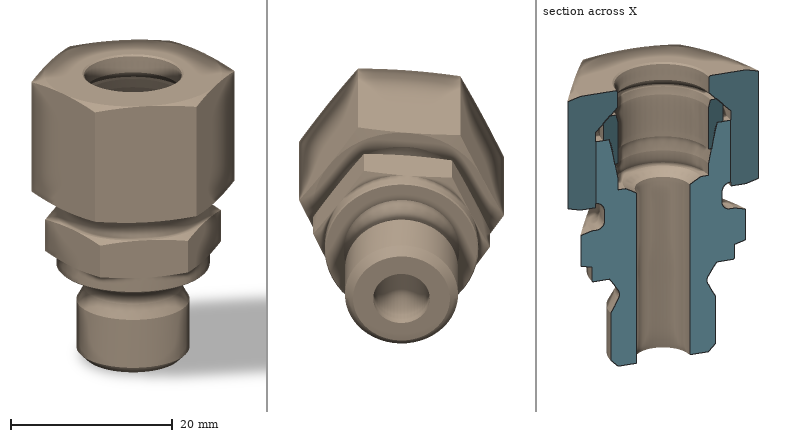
import cadquery as cq
import math


stud_thread_top = 7.4
waist_bottom = 9.1
waist_top = 10.4
flange_bottom = 12.0
body_hex_bottom = 14.0
body_hex_top = 19.0
neck_top = 21.4
nut_bottom = 22.0
nut_top = 37.5

stud_radius = 14.0 / 2
stud_chamfer = 1.0
waist_radius = 11.7 / 2
waist_edge_radius = 12.15 / 2
undercut_top_radius = 14.3 / 2
flange_radius = 19.0 / 2
flange_chamfer = 0.15
neck_radius = 15.7 / 2
neck_fillet = 1.0
nut_thread_radius = 18.0 / 2
body_top_depth = 6.5
body_top = nut_top - body_top_depth
socket_mouth_radius = 14.3 / 2
socket_half_angle = math.radians(12)
tube_radius = 12.0 / 2
socket_depth = 7.0
tube_stop = body_top - socket_depth
bore_radius = 7.0 / 2
bore_funnel_radius = 10.0 / 2
funnel_half_angle = math.radians(60)

body_hex_width = 19.0
nut_hex_width = 22.0
hex_turn = 30
hex_chamfer_angle = math.radians(15)

nut_bore_radius = 12.1 / 2
nut_mouth_radius = 12.5 / 2
nut_mouth_chamfer = nut_mouth_radius - nut_bore_radius
nut_bore_depth = 2.35
nut_cone_top = nut_top - nut_bore_depth

ring_top_depth = 3.3
ring_top = nut_top - ring_top_depth
ring_entry_radius = 12.5 / 2
ring_entry_depth = 1.0
ring_shoulder_radius = 16.0 / 2
ring_nose_length = 3.5


def nut_cone_radius(z):
    """Radius of the 45 degree cone inside the nut at height z."""
    return nut_bore_radius + nut_cone_top - z


def nut_cone_height(radius):
    """Height at which the cone inside the nut has the given radius."""
    return nut_cone_top + nut_bore_radius - radius


def revolve_profile(profile):
    """Turn a closed (radius, height) profile about the Z axis."""
    return profile.close().revolve(360, (0, 0, 0), (0, 1, 0))


def chamfered_hexagon(width, bottom, top):
    """Hexagonal prism with two flats facing X and both ends turned to a shallow cone."""
    corner_radius = width / math.sqrt(3)
    face_radius = width / 2
    drop = (corner_radius - face_radius) * math.tan(hex_chamfer_angle)
    prism = (
        cq.Workplane("XY", origin=(0, 0, bottom))
        .polygon(6, 2 * corner_radius)
        .extrude(top - bottom)
        .rotate((0, 0, 0), (0, 0, 1), hex_turn)
    )
    turned_blank = revolve_profile(
        cq.Workplane("XZ")
        .moveTo(0, bottom)
        .lineTo(face_radius, bottom)
        .lineTo(corner_radius, bottom + drop)
        .lineTo(corner_radius, top - drop)
        .lineTo(face_radius, top)
        .lineTo(0, top)
    )
    return prism.intersect(turned_blank)


def make_body():
    """Stud, sealing flange, hexagon and threaded socket that takes the tube and ring."""
    lower_fillet_top = body_hex_top + neck_fillet
    upper_fillet = nut_thread_radius - neck_radius
    arc_offset = 1 - math.sqrt(0.5)
    turned = revolve_profile(
        cq.Workplane("XZ")
        .lineTo(stud_radius - stud_chamfer, 0)
        .lineTo(stud_radius, stud_chamfer)
        .lineTo(stud_radius, stud_thread_top)
        .lineTo(waist_edge_radius, waist_bottom)
        .threePointArc(
            (waist_radius, (waist_bottom + waist_top) / 2),
            (waist_edge_radius, waist_top),
        )
        .lineTo(undercut_top_radius, flange_bottom)
        .lineTo(flange_radius - flange_chamfer, flange_bottom)
        .lineTo(flange_radius, flange_bottom + flange_chamfer)
        .lineTo(flange_radius, body_hex_bottom)
        .lineTo(neck_radius + neck_fillet, body_hex_bottom)
        .lineTo(neck_radius + neck_fillet, body_hex_top)
        .threePointArc(
            (neck_radius + arc_offset * neck_fillet, body_hex_top + arc_offset * neck_fillet),
            (neck_radius, lower_fillet_top),
        )
        .lineTo(neck_radius, neck_top)
        .threePointArc(
            (
                neck_radius + arc_offset * upper_fillet,
                neck_top + (1 - arc_offset) * upper_fillet,
            ),
            (nut_thread_radius, neck_top + upper_fillet),
        )
        .lineTo(nut_thread_radius, body_top)
        .lineTo(0, body_top)
    )
    socket_cone_depth = (socket_mouth_radius - tube_radius) / math.tan(socket_half_angle)
    funnel_depth = (bore_funnel_radius - bore_radius) / math.tan(funnel_half_angle)
    bore = revolve_profile(
        cq.Workplane("XZ")
        .lineTo(bore_radius, 0)
        .lineTo(bore_radius, tube_stop - funnel_depth)
        .lineTo(bore_funnel_radius, tube_stop)
        .lineTo(tube_radius, tube_stop)
        .lineTo(tube_radius, body_top - socket_cone_depth)
        .lineTo(socket_mouth_radius, body_top)
        .lineTo(0, body_top)
    )
    hexagon = chamfered_hexagon(body_hex_width, body_hex_bottom, body_hex_top)
    return turned.union(hexagon).cut(bore)


def make_nut():
    """Union nut with a clearance bore, a clamping cone and the thread bore below it."""
    bore = revolve_profile(
        cq.Workplane("XZ")
        .moveTo(0, nut_bottom)
        .lineTo(nut_thread_radius, nut_bottom)
        .lineTo(nut_thread_radius, nut_cone_height(nut_thread_radius))
        .lineTo(nut_bore_radius, nut_cone_top)
        .lineTo(nut_bore_radius, nut_top - nut_mouth_chamfer)
        .lineTo(nut_mouth_radius, nut_top)
        .lineTo(0, nut_top)
    )
    return chamfered_hexagon(nut_hex_width, nut_bottom, nut_top).cut(bore)


def make_ring():
    """Cutting ring held between the cone of the nut and the socket of the body."""
    nose_radius = socket_mouth_radius - ring_nose_length * math.tan(socket_half_angle)
    nose_end = body_top - ring_nose_length
    return revolve_profile(
        cq.Workplane("XZ")
        .moveTo(ring_entry_radius, ring_top)
        .lineTo(nut_cone_radius(ring_top), ring_top)
        .lineTo(ring_shoulder_radius, nut_cone_height(ring_shoulder_radius))
        .lineTo(ring_shoulder_radius, body_top)
        .lineTo(socket_mouth_radius, body_top)
        .lineTo(nose_radius, nose_end)
        .lineTo(tube_radius, nose_end)
        .lineTo(tube_radius, ring_top - ring_entry_depth)
    )


body = make_body()
nut = make_nut()
ring = make_ring()

result = cq.Compound.makeCompound([body.val(), nut.val(), ring.val()])